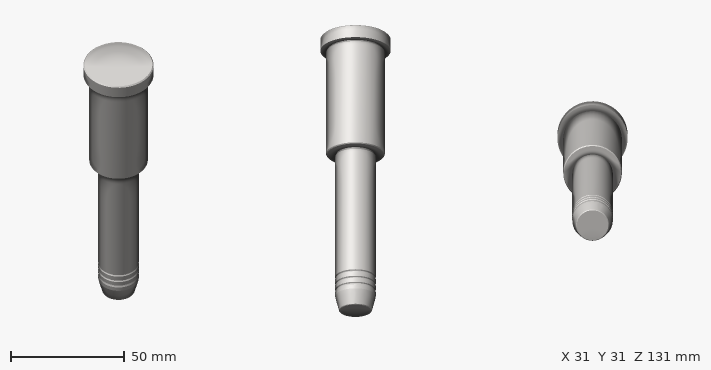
import cadquery as cq

total_length = 131.0
head_diameter = 31.0
head_height = 6.0
head_edge = 0.5
body_diameter = 26.0
body_bottom = 75.0
body_edge = 0.4
shank_diameter = 18.0

relief_depth = 0.4
head_relief_height = 0.8
head_relief_floor = 0.4
body_relief_height = 1.0

groove_depth = 0.4
narrow_groove_width = 0.9
narrow_groove_tops = (16.1, 13.0)
wide_groove_width = 1.2
wide_groove_top = 10.1
groove_top_flank = 0.4

tip_diameter = 14.4
taper_length = 7.0
taper_bulge = 0.07
tip_edge = 0.3


def cylinder(diameter, bottom, top):
    """Solid cylinder on the Z axis between two heights."""
    return cq.Workplane("XY").workplane(offset=bottom).circle(diameter / 2).extrude(top - bottom)


def ring_cut(diameter, depth, top, floor_top, floor_bottom, bottom):
    """Ring to cut from a cylinder: a floor at the given depth, with flanks running out to the surface."""
    outer = diameter / 2
    inner = outer - depth
    profile = cq.Workplane("XZ").moveTo(outer, top).lineTo(inner, floor_top)
    if floor_bottom < floor_top:
        profile = profile.lineTo(inner, floor_bottom)
    return profile.lineTo(outer, bottom).close().revolve(360, (0, 0, 0), (0, 1, 0))


def groove_cut(top, width):
    """V-shaped ring groove in the shank, with a short upper flank."""
    apex = top - groove_top_flank
    return ring_cut(shank_diameter, groove_depth, top, apex, apex, top - width)


head_bottom = total_length - head_height
head = cylinder(head_diameter, head_bottom, total_length).faces(">Z").edges().chamfer(head_edge)
body = cylinder(body_diameter, body_bottom, head_bottom).faces("<Z").edges().chamfer(body_edge)
floor_bottom = head_bottom - head_relief_floor
relief_end = head_bottom - head_relief_height
body = body.cut(ring_cut(body_diameter, relief_depth, head_bottom, head_bottom, floor_bottom, relief_end))

shank = cylinder(shank_diameter, taper_length, body_bottom)
shank_relief_end = body_bottom - body_relief_height
shank_relief = ring_cut(
    shank_diameter, relief_depth, body_bottom, body_bottom, shank_relief_end, shank_relief_end
)
shank = shank.cut(shank_relief)
for groove_top in narrow_groove_tops:
    shank = shank.cut(groove_cut(groove_top, narrow_groove_width))
shank = shank.cut(groove_cut(wide_groove_top, wide_groove_width))

shank_radius = shank_diameter / 2
tip_radius = tip_diameter / 2
taper_middle = ((shank_radius + tip_radius) / 2 + taper_bulge, taper_length / 2)
tip = (
    cq.Workplane("XZ")
    .lineTo(tip_radius, 0)
    .threePointArc(taper_middle, (shank_radius, taper_length))
    .lineTo(0, taper_length)
    .close()
    .revolve(360, (0, 0, 0), (0, 1, 0))
    .faces("<Z")
    .edges()
    .chamfer(tip_edge)
)

result = head.union(body).union(shank).union(tip)